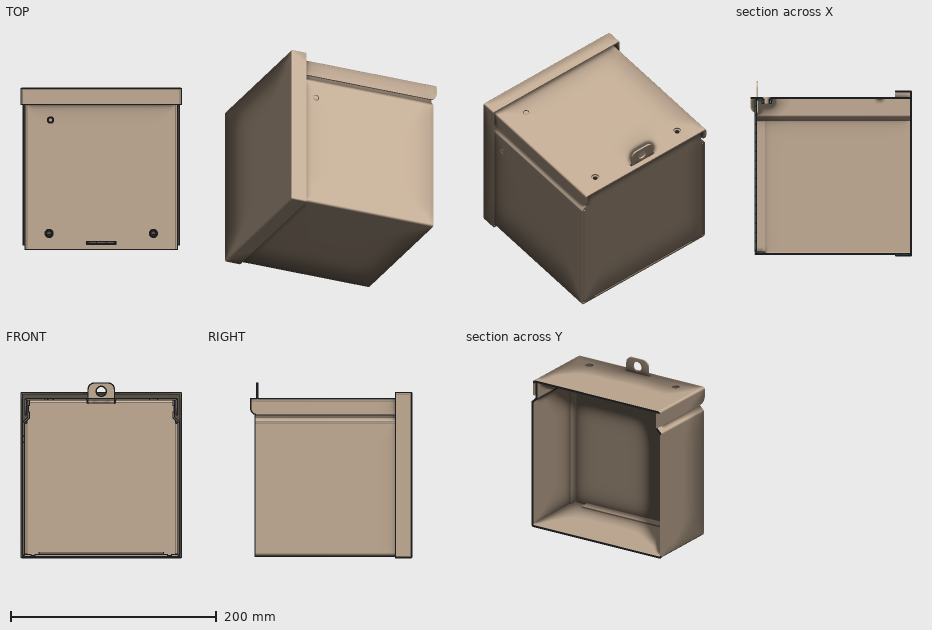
import cadquery as cq
import math


SHEET = 1.5
BEND_OUTER = 2.2
BEND_INNER = BEND_OUTER - SHEET

LID_WIDTH = 156.3
LID_HEIGHT = 161.0
LID_DEPTH = 16.0
LID_EDGE_RADIUS = 1.5

ROOF_FRONT = -156.9
ROOF_TOP = 154.8
ROOF_UNDERSIDE = ROOF_TOP - SHEET
ROOF_HALF_WIDTH = 74.3
ROOF_SKIRT_HEIGHT = 16.0
SKIRT_CORNER_RADIUS = 7.0

SHELL_FRONT = -152.6
SHELL_BACK = -SHEET
SHELL_BOTTOM = SHEET
SHELL_HALF_WIDTH = 76.0
NECK_HALF_WIDTH = 71.3
NECK_START = 136.8
SHOULDER_END = NECK_START - (SHELL_HALF_WIDTH - NECK_HALF_WIDTH)

FLOOR_TOP = SHELL_BOTTOM + SHEET
PANEL_HALF_WIDTH = SHELL_HALF_WIDTH - SHEET
PANEL_NECK_HALF_WIDTH = NECK_HALF_WIDTH - SHEET
PANEL_NECK_START = 136.0
SIDE_FLANGE_BOTTOM = FLOOR_TOP + BEND_INNER
SIDE_FLANGE_TOP = 131.0
SIDE_BEND_LINE = PANEL_HALF_WIDTH - BEND_OUTER
BOTTOM_FLANGE_HALF_WIDTH = 60.4
TOP_BEND_LINE = ROOF_UNDERSIDE - BEND_OUTER
BOTTOM_BEND_LINE = FLOOR_TOP + BEND_OUTER
SHORT_FLANGE_DEPTH = 10.2
TOP_FLANGE_DEPTH = 17.0

EAR_DEPTH = 0.77
SIDE_EAR_HEIGHT = 6.1
SIDE_EAR_Z = 145.0
BOTTOM_EAR_WIDTH = 4.0
BOTTOM_EAR_X = 66.3

HASP_WIDTH = 25.9
HASP_TOP = 170.1
HASP_BOTTOM = 139.5
HASP_CORNER_RADIUS = 6.5
HASP_EYE_DIAMETER = 9.7
HASP_EYE_Z = 161.8
HASP_FRONT = SHELL_FRONT + SHEET
HASP_CLEARANCE = 0.7
HASP_SLOT_WIDTH = 28.8
HASP_NOTCH_BOTTOM = 150.4

NUT_X = 50.7
NUT_SETBACK = 15.7
NUT_Y = ROOF_FRONT + NUT_SETBACK
ACCESS_HOLE_RADIUS = 3.9
NUT_SHANK_RADIUS = 3.2
NUT_BORE_RADIUS = 2.4
NUT_HEAD_RADIUS = 4.8
NUT_HEAD_HEIGHT = 3.4

PLUG_RADIUS = 3.0
PLUG_CHAMFER = 0.9
ROOF_PLUG_X = -49.3
ROOF_PLUG_Y = -31.0
WALL_PLUG_Y = -27.0
WALL_PLUG_Z = 115.2


def block(x_range, y_range, z_range):
    """Box spanning three (low, high) ranges."""
    size = [high - low for low, high in (x_range, y_range, z_range)]
    corner = (x_range[0], y_range[0], z_range[0])
    return cq.Workplane(cq.Solid.makeBox(*size, cq.Vector(*corner)))


def upright_cylinder(radius, x, y, bottom, top):
    """Cylinder along Z between two heights."""
    return cq.Workplane("XY", origin=(x, y, bottom)).circle(radius).extrude(top - bottom)


def make_lid():
    half = LID_WIDTH / 2
    tray = block((-half, half), (-LID_DEPTH, 0), (0, LID_HEIGHT))
    tray = tray.edges("not <Y").fillet(LID_EDGE_RADIUS)
    cavity = block((SHEET - half, half - SHEET), (-LID_DEPTH, -SHEET), (SHEET, LID_HEIGHT - SHEET))
    return tray.cut(cavity)


def make_roof():
    half = ROOF_HALF_WIDTH
    skirt_bottom = ROOF_TOP - ROOF_SKIRT_HEIGHT
    length = (ROOF_FRONT, SHELL_BACK)
    roof = block((-half, half), length, (skirt_bottom, ROOF_TOP))
    roof = roof.edges("|Y and >Z").fillet(BEND_OUTER)
    inside = block((SHEET - half, half - SHEET), length, (skirt_bottom, ROOF_UNDERSIDE))
    roof = roof.cut(inside.edges("|Y and >Z").fillet(BEND_INNER))
    roof = roof.edges("|X and <Y and <Z").fillet(SKIRT_CORNER_RADIUS)

    slot_half = HASP_SLOT_WIDTH / 2
    slot_length = (HASP_FRONT - HASP_CLEARANCE, HASP_FRONT + SHEET + HASP_CLEARANCE)
    roof = roof.cut(block((-slot_half, slot_half), slot_length, (ROOF_UNDERSIDE, ROOF_TOP)))
    for x in (-NUT_X, NUT_X):
        roof = roof.cut(upright_cylinder(ACCESS_HOLE_RADIUS, x, NUT_Y, ROOF_UNDERSIDE, ROOF_TOP))
    return roof.cut(upright_cylinder(PLUG_RADIUS, ROOF_PLUG_X, ROOF_PLUG_Y, ROOF_UNDERSIDE, ROOF_TOP))


def shell_form(inset, convex_radius, concave_radius):
    """Solid with the shell's cross-section, its floor and walls moved inwards by inset."""
    side = SHELL_HALF_WIDTH - inset
    neck = NECK_HALF_WIDTH - inset
    bottom = SHELL_BOTTOM + inset
    bend_drop = inset * math.tan(math.radians(22.5))
    shoulder_z = SHOULDER_END - bend_drop
    neck_z = NECK_START - bend_drop
    right = [(side, bottom), (side, shoulder_z), (neck, neck_z), (neck, ROOF_UNDERSIDE)]
    left = [(-x, z) for x, z in reversed(right)]
    form = (
        cq.Workplane("XZ", origin=(0, SHELL_BACK, 0))
        .polyline(right + left)
        .close()
        .extrude(SHELL_BACK - SHELL_FRONT)
    )
    middle_y = (SHELL_FRONT + SHELL_BACK) / 2
    bends = [
        (side, bottom, convex_radius),
        (side, shoulder_z, convex_radius),
        (neck, neck_z, concave_radius),
    ]
    for x, z, radius in bends:
        for bend_x in (-x, x):
            bend = cq.selectors.NearestToPointSelector((bend_x, middle_y, z))
            form = form.edges("|Y").edges(bend).fillet(radius)
    return form


def panel_ears():
    """The four ears on the panel's edge; also the shape of the notches that hold them."""
    depth = (SHELL_FRONT, SHELL_FRONT + SHEET)
    side_heights = (SIDE_EAR_Z - SIDE_EAR_HEIGHT / 2, SIDE_EAR_Z + SIDE_EAR_HEIGHT / 2)
    bottom_heights = (FLOOR_TOP - EAR_DEPTH, FLOOR_TOP)
    ears = []
    for side in (-1, 1):
        edge_x = sorted((side * PANEL_NECK_HALF_WIDTH, side * (PANEL_NECK_HALF_WIDTH + EAR_DEPTH)))
        ears.append(block(edge_x, depth, side_heights))
        centre = side * BOTTOM_EAR_X
        bottom_x = (centre - BOTTOM_EAR_WIDTH / 2, centre + BOTTOM_EAR_WIDTH / 2)
        ears.append(block(bottom_x, depth, bottom_heights))
    return ears


def wall_plug_blank():
    """Plain disc that fills the plug hole in the -X wall."""
    return (
        cq.Workplane("YZ", origin=(-SHELL_HALF_WIDTH, WALL_PLUG_Y, WALL_PLUG_Z))
        .circle(PLUG_RADIUS)
        .extrude(SHEET)
    )


def make_shell():
    shell = shell_form(0, BEND_OUTER, BEND_INNER).cut(shell_form(SHEET, BEND_INNER, BEND_OUTER))
    for ear in panel_ears():
        shell = shell.cut(ear)
    return shell.cut(wall_plug_blank())


def bent_flange(width, depth, bend_line, turn):
    """Flange bent towards +Y, its bend line raised above the X axis and then turned about Y."""
    return (
        cq.Workplane("YZ", origin=(-width / 2, SHELL_FRONT, bend_line))
        .moveTo(0, 0)
        .radiusArc((BEND_OUTER, BEND_OUTER), BEND_OUTER)
        .lineTo(depth, BEND_OUTER)
        .lineTo(depth, BEND_INNER)
        .lineTo(BEND_OUTER, BEND_INNER)
        .radiusArc((SHEET, 0), -BEND_INNER)
        .close()
        .extrude(width)
        .rotate((0, 0, 0), (0, 1, 0), turn)
    )


def make_panel():
    right = [
        (BOTTOM_FLANGE_HALF_WIDTH, BOTTOM_BEND_LINE),
        (BOTTOM_FLANGE_HALF_WIDTH, FLOOR_TOP),
        (SIDE_BEND_LINE, FLOOR_TOP),
        (SIDE_BEND_LINE, PANEL_NECK_START - (SIDE_BEND_LINE - PANEL_NECK_HALF_WIDTH)),
        (PANEL_NECK_HALF_WIDTH, PANEL_NECK_START),
        (PANEL_NECK_HALF_WIDTH, TOP_BEND_LINE),
    ]
    left = [(-x, z) for x, z in reversed(right)]
    panel = cq.Workplane("XZ", origin=(0, SHELL_FRONT, 0)).polyline(right + left).close().extrude(-SHEET)

    top = bent_flange(2 * PANEL_NECK_HALF_WIDTH, TOP_FLANGE_DEPTH, TOP_BEND_LINE, 0)
    bottom = bent_flange(2 * BOTTOM_FLANGE_HALF_WIDTH, SHORT_FLANGE_DEPTH, -BOTTOM_BEND_LINE, 180)
    panel = panel.union(top).union(bottom)
    side_height = SIDE_FLANGE_TOP - SIDE_FLANGE_BOTTOM
    side_middle = (SIDE_FLANGE_TOP + SIDE_FLANGE_BOTTOM) / 2
    for turn in (-90, 90):
        side = bent_flange(side_height, SHORT_FLANGE_DEPTH, SIDE_BEND_LINE, turn)
        panel = panel.union(side.translate((0, 0, side_middle)))
    for ear in panel_ears():
        panel = panel.union(ear)

    notch_half = HASP_WIDTH / 2 + HASP_CLEARANCE
    notch_depth = (SHELL_FRONT, HASP_FRONT + SHEET + HASP_CLEARANCE)
    panel = panel.cut(block((-notch_half, notch_half), notch_depth, (HASP_NOTCH_BOTTOM, ROOF_UNDERSIDE)))
    for x in (-NUT_X, NUT_X):
        seat = upright_cylinder(NUT_SHANK_RADIUS, x, NUT_Y, ROOF_UNDERSIDE - SHEET, ROOF_UNDERSIDE)
        panel = panel.cut(seat)
    return panel


def make_hasp():
    half = HASP_WIDTH / 2
    hasp = block((-half, half), (HASP_FRONT, HASP_FRONT + SHEET), (HASP_BOTTOM, HASP_TOP))
    hasp = hasp.edges("|Y and >Z").fillet(HASP_CORNER_RADIUS)
    eye_centre = (0, HASP_FRONT, HASP_EYE_Z)
    eye = cq.Workplane("XZ", origin=eye_centre).circle(HASP_EYE_DIAMETER / 2).extrude(-SHEET)
    return hasp.cut(eye)


def make_nut(x):
    flange_bottom = ROOF_UNDERSIDE - SHEET
    head_bottom = flange_bottom - NUT_HEAD_HEIGHT
    shank = upright_cylinder(NUT_SHANK_RADIUS, x, NUT_Y, flange_bottom, ROOF_UNDERSIDE)
    head = upright_cylinder(NUT_HEAD_RADIUS, x, NUT_Y, head_bottom, flange_bottom)
    bore = upright_cylinder(NUT_BORE_RADIUS, x, NUT_Y, head_bottom, ROOF_UNDERSIDE)
    return shank.union(head).cut(bore)


def make_roof_plug():
    plug = upright_cylinder(PLUG_RADIUS, ROOF_PLUG_X, ROOF_PLUG_Y, ROOF_UNDERSIDE, ROOF_TOP)
    return plug.faces(">Z").chamfer(PLUG_CHAMFER)


def make_wall_plug():
    return wall_plug_blank().faces("<X").chamfer(PLUG_CHAMFER)


lid = make_lid()
roof = make_roof()
shell = make_shell()
panel = make_panel()
hasp = make_hasp()
nuts = [make_nut(x) for x in (-NUT_X, NUT_X)]
roof_plug = make_roof_plug()
wall_plug = make_wall_plug()

bodies = [lid, roof, shell, panel, hasp, *nuts, roof_plug, wall_plug]
result = cq.Compound.makeCompound([body.solids().val() for body in bodies])